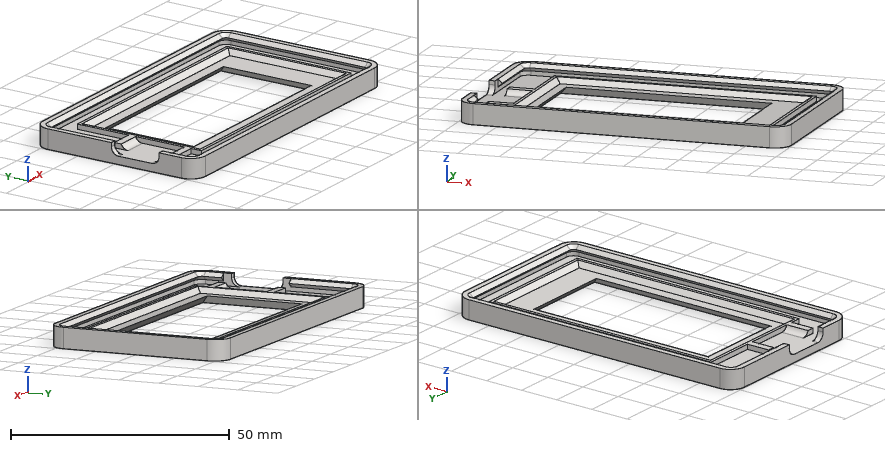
import cadquery as cq

length = 79.45
width = 44.2
height = 5.0
corner_radius = 4.0
floor_height = 2.1

wall = 1.5
cavity_radius = 2.0
ridge_depth = 1.0
ridge_half_height = 0.95

frame_left = -29.3
frame_right = 33.9
frame_width = 33.7
frame_rim = 0.8
frame_slope = 1.3
frame_height = 3.3
seat_height = 2.1

window_length = 49.6
window_width = 23.8

notch_center = -5.6
notch_width = 12.95
notch_radius = 2.0
guide_gap = 13.4
guide_start = -length / 2 + 4.4
guide_span = 17.0


def rectangle(size_x, size_y, z, center_x=0.0):
    """Rectangle in a horizontal plane at height z."""
    return cq.Workplane("XY", origin=(center_x, 0, z)).rect(size_x, size_y)


def rounded_outline(inset, radius):
    """Rounded rectangle parallel to the tray outline, moved inward by inset."""
    return cq.Sketch().rect(length - 2 * inset, width - 2 * inset).vertices().fillet(radius)


def rounded_block(inset, radius, bottom, top):
    """Upright block with a rounded outline."""
    base = cq.Workplane("XY", origin=(0, 0, bottom))
    return base.placeSketch(rounded_outline(inset, radius)).extrude(top - bottom)


def ridge_opening(rise):
    """Tapered opening from the ridge crest to its base; a negative rise goes downward."""
    crest_height = height - ridge_half_height
    crest = rounded_outline(wall + ridge_depth, cavity_radius - ridge_depth)
    base = rounded_outline(wall, cavity_radius).moved(cq.Location(cq.Vector(0, 0, rise)))
    return cq.Workplane("XY", origin=(0, 0, crest_height)).placeSketch(crest, base).loft()


def make_tray():
    ridge_bottom = height - 2 * ridge_half_height
    return (
        rounded_block(0, corner_radius, 0, height)
        .cut(rounded_block(wall, cavity_radius, floor_height, ridge_bottom))
        .cut(ridge_opening(-ridge_half_height))
        .cut(ridge_opening(ridge_half_height))
    )


def floor_block(start, end, span, top):
    """Block standing on the floor, centred on the cable notch."""
    return (
        cq.Workplane("XY")
        .box(end - start, span, top - floor_height, centered=(False, True, False))
        .translate((start, notch_center, floor_height))
    )


def make_ridge_gap():
    """Block that removes the snap ridge from the -X wall beside the notch."""
    return floor_block(-length / 2 + wall, -length / 2 + wall + ridge_depth, guide_span, height)


def make_channel(start, end, span):
    """Cable channel with rounded lower edges, open at the top."""
    return floor_block(start, end, span, height + notch_radius).edges("|X and <Z").fillet(notch_radius)


def make_notch():
    return make_channel(-length / 2, -length / 2 + wall, notch_width)


def make_guides():
    """Two blocks with concave facing sides, joined to the frame."""
    bar = floor_block(guide_start, frame_left, guide_span, frame_height)
    return bar.cut(make_channel(guide_start, frame_left, guide_gap))


def make_frame():
    frame_length = frame_right - frame_left
    frame_center = (frame_left + frame_right) / 2
    return rectangle(frame_length, frame_width, floor_height, frame_center).extrude(frame_height - floor_height)


def make_frame_recess():
    recess_length = frame_right - frame_left - 2 * frame_rim
    recess_width = frame_width - 2 * frame_rim
    recess_center = (frame_left + frame_right) / 2
    return (
        rectangle(recess_length - 2 * frame_slope, recess_width - 2 * frame_slope, seat_height, recess_center)
        .workplane(offset=frame_height - seat_height)
        .rect(recess_length, recess_width)
        .loft()
    )


def make_window():
    """Opening that is smallest at the seat and flares at 45 degrees toward the underside."""
    return (
        rectangle(window_length + 2 * seat_height, window_width + 2 * seat_height, 0)
        .workplane(offset=seat_height)
        .rect(window_length, window_width)
        .loft()
    )


result = (
    make_tray()
    .cut(make_ridge_gap())
    .cut(make_notch())
    .union(make_guides())
    .union(make_frame())
    .cut(make_frame_recess())
    .cut(make_window())
)